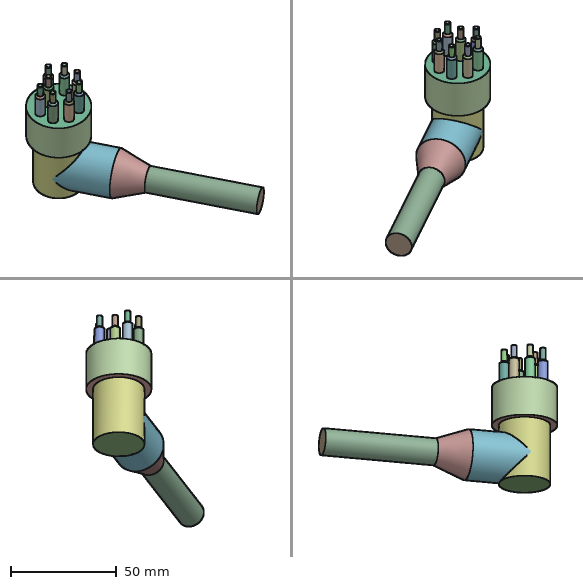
import cadquery as cq
import math

stem_diameter = 24.4
head_diameter = 31.0
head_bottom_z = 29.5
head_height = 19.0
head_top_z = head_bottom_z + head_height

arm_axis_z = stem_diameter / 2
arm_end_x = 28.5
taper_end_x = 44.0
cable_diameter = 13.0
overall_length = 114.6
cable_end_x = overall_length - head_diameter / 2

pin_count = 8
pin_circle_radius = 10.0
key_pin_radius = 5.0
sleeve_diameter = 4.8
tip_diameter = 2.8
pin_height = 18.0
sleeve_height = 11.0
shoulder_height = 1.0
tip_chamfer = 0.3


def make_body():
    """Stem with the contact head on top, both centred on the Z axis."""
    stem = cq.Workplane("XY").circle(stem_diameter / 2).extrude(head_bottom_z)
    head = (
        cq.Workplane("XY", origin=(0, 0, head_bottom_z))
        .circle(head_diameter / 2)
        .extrude(head_height)
    )
    return stem.union(head)


def make_arm():
    """Cylinder, taper and cable revolved about the arm axis, starting inside the stem."""
    arm_radius = stem_diameter / 2
    cable_radius = cable_diameter / 2
    return (
        cq.Workplane("XZ", origin=(0, 0, arm_axis_z))
        .moveTo(0, 0)
        .lineTo(0, arm_radius)
        .lineTo(arm_end_x, arm_radius)
        .lineTo(taper_end_x, cable_radius)
        .lineTo(cable_end_x, cable_radius)
        .lineTo(cable_end_x, 0)
        .close()
        .revolve(360, (0, 0, 0), (1, 0, 0))
    )


def make_pin(x, y):
    """One stepped pin standing on the head, revolved about its own axis."""
    sleeve_radius = sleeve_diameter / 2
    tip_radius = tip_diameter / 2
    return (
        cq.Workplane("XZ")
        .moveTo(0, 0)
        .lineTo(sleeve_radius, 0)
        .lineTo(sleeve_radius, sleeve_height)
        .lineTo(tip_radius, sleeve_height + shoulder_height)
        .lineTo(tip_radius, pin_height - tip_chamfer)
        .lineTo(tip_radius - tip_chamfer, pin_height)
        .lineTo(0, pin_height)
        .close()
        .revolve(360, (0, 0, 0), (0, 1, 0))
        .translate((x, y, head_top_z))
    )


result = make_body().union(make_arm())

for index in range(pin_count):
    angle = math.pi + index * 2 * math.pi / pin_count
    radius = key_pin_radius if index == 0 else pin_circle_radius
    result = result.union(make_pin(radius * math.cos(angle), radius * math.sin(angle)))